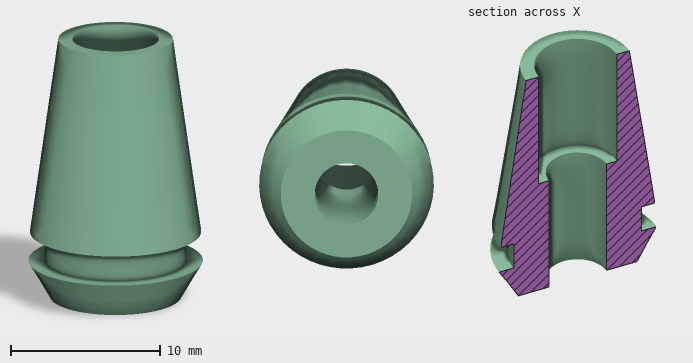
import cadquery as cq
import math

total_height = 18.0
nose_height = 2.5
groove_height = 2.0
body_base = nose_height + groove_height
body_height = total_height - body_base

rim_radius = 5.85
nose_half_angle = 30.0
nose_tip_radius = rim_radius - nose_height * math.tan(math.radians(nose_half_angle))
groove_radius = 4.77
body_base_radius = 5.75
body_half_angle = 8.0
body_top_radius = body_base_radius - body_height * math.tan(math.radians(body_half_angle))

hole_radius = 2.12
bore_radius = 2.9
bore_depth = total_height / 2


def turned_body():
    """Nose cone, groove and long taper as one solid of revolution."""
    profile = [
        (0, 0),
        (nose_tip_radius, 0),
        (rim_radius, nose_height),
        (groove_radius, nose_height),
        (groove_radius, body_base),
        (body_base_radius, body_base),
        (body_top_radius, total_height),
        (0, total_height),
    ]
    return cq.Workplane("XZ").polyline(profile).close().revolve(360, (0, 0), (0, 1))


def stepped_bore():
    """Through hole with a wider flat-bottomed bore from the top."""
    through_hole = cq.Workplane("XY").circle(hole_radius).extrude(total_height)
    bore_floor = total_height - bore_depth
    wide_bore = cq.Workplane("XY").workplane(offset=bore_floor).circle(bore_radius).extrude(bore_depth)
    return through_hole.union(wide_bore)


result = turned_body().cut(stepped_bore())